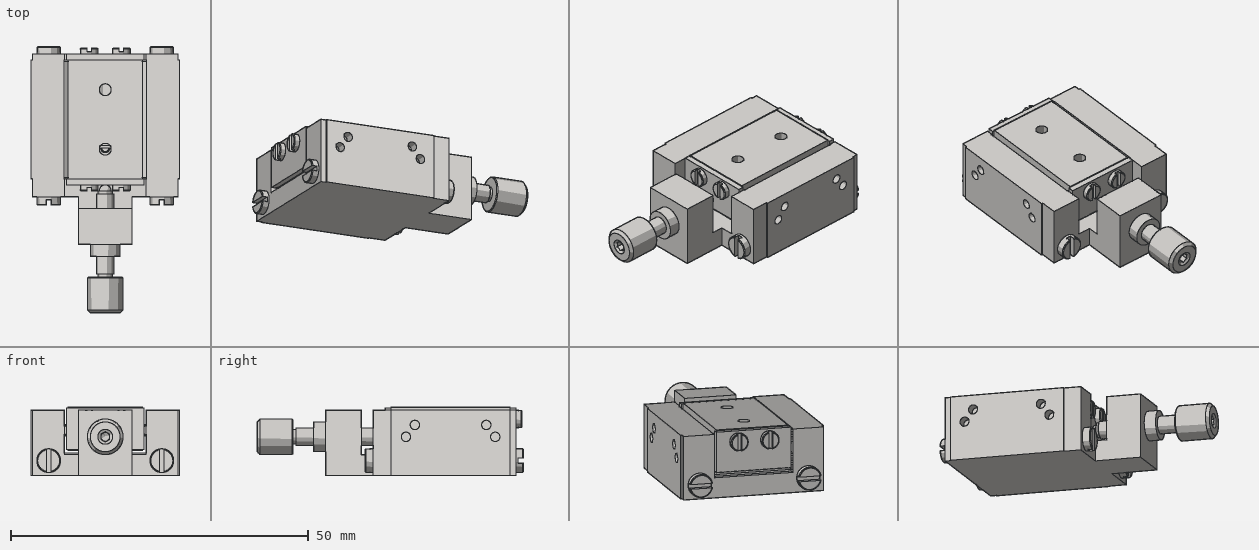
import cadquery as cq
import math


slide_length = 20.0
rear_plate = 1.0
front_plate = 3.0
base_width = 25.0
base_end_width = 24.5
base_height = 11.0
channel_width = 13.9
channel_floor = 3.8
end_channel_width = 13.7
end_channel_floor = 3.5

base_rear = slide_length / 2 + rear_plate
base_front = -slide_length / 2 - front_plate

bracket_width = 9.0
bracket_length = 8.0
bracket_gap = 2.0
bracket_front = base_front - bracket_length

side_hole_diameter = 1.57
side_hole_depth = 2.0
side_holes = [(6.0, 8.5), (7.5, 6.5)]

rod_diameter = 2.0
rod_offset = 6.95
rod_height = 7.6
rod_chamfer = 0.25

carriage_width = 12.5
carriage_bottom = 4.2
carriage_top = 11.5
carriage_plate_width = 13.1
carriage_plate = 1.0
carriage_plate_inset = 0.15
carriage_end = slide_length / 2 + carriage_plate

mount_hole_diameter = 2.0
mount_hole_offset = 5.0
bore_diameter = 3.0
bore_start = -3.0
bore_height = (carriage_bottom + carriage_top) / 2

stud_edge = -4.8
stud_height = 0.3
stud_bottom_diameter = 1.57
stud_top_diameter = 1.2
groove_width = 0.4
groove_length = mount_hole_diameter
groove_depth = 0.3

screw_height = 6.5
spindle_diameter = 3.0
collar_diameter = 5.0
collar_length = 2.0
neck_diameter = 2.5
neck_length = 0.5
knob_diameter = 6.0
knob_length = 6.0
knob_chamfer = 0.5
knob_back_chamfer = 0.15
tip_diameter = 2.0
knob_distance = 5.5
knob_back = bracket_front - knob_distance
knob_front = knob_back - knob_length
socket_across_flats = 1.5
socket_depth = 1.5
socket_turn = 30.0
socket_countersink = 2.5
countersink_angle = 120.0
socket_point_angle = 118.0

base_head_diameter = 4.0
base_head_offset = 9.5
base_head_height = 2.5
base_front_head_length = 1.4
base_rear_head_length = 1.23
base_head_slot = (0.8, 0.9)
carriage_head_diameter = 3.0
carriage_head_offset = 2.7
carriage_head_height = 9.5
carriage_head_length = 1.0
carriage_head_slot = (0.7, 0.6)
head_chamfer = 0.15


def block(width, y_from, y_to, z_from, z_to):
    """Box centred on X = 0 between two Y and two Z positions."""
    box = cq.Workplane("XY").box(width, y_to - y_from, z_to - z_from, centered=(True, False, False))
    return box.translate((0, y_from, z_from))


def slotted_head(x, y, z, diameter, length, slot, facing, slot_angle=0):
    """Cheese head seated at (x, y, z); facing is +1 for heads on the +Y side and -1 for the -Y side."""
    slot_width, slot_depth = slot
    head = cq.Workplane("XY").circle(diameter / 2).extrude(length).faces(">Z").chamfer(head_chamfer)
    cutter = cq.Workplane("XY").box(slot_width, 2 * diameter, 2 * slot_depth).translate((0, 0, length))
    cutter = cutter.rotate((0, 0, 0), (0, 0, 1), slot_angle)
    head = head.cut(cutter)
    return head.rotate((0, 0, 0), (1, 0, 0), -90 * facing).translate((x, y, z))


def guide_rod(side):
    rod = cq.Workplane("XZ").circle(rod_diameter / 2).extrude(slide_length / 2, both=True)
    rod = rod.faces("<Y or >Y").chamfer(rod_chamfer)
    return rod.translate((side * rod_offset, 0, rod_height))


def channel_section(width, y_from, y_to, inner_width, floor):
    body = block(width, y_from, y_to, 0, base_height)
    return body.cut(block(inner_width, y_from, y_to, floor, base_height))


def stop_stud():
    """Half of a low cone standing on the channel floor, flat on its +Y side."""
    cone = cq.Workplane(
        cq.Solid.makeCone(
            stud_bottom_diameter / 2, stud_top_diameter / 2, stud_height, cq.Vector(0, stud_edge, channel_floor)
        )
    )
    rear_half = block(
        stud_bottom_diameter, stud_edge, stud_edge + stud_bottom_diameter, channel_floor, channel_floor + stud_height
    )
    return cone.cut(rear_half)


def stop_groove():
    return block(groove_length, stud_edge, stud_edge + groove_width, channel_floor - groove_depth, channel_floor)


def cone_point(diameter, angle, y):
    """Cone about the Y axis, wide at y and narrowing toward +Y to a point."""
    height = diameter / 2 / math.tan(math.radians(angle / 2))
    return cq.Workplane(cq.Solid.makeCone(diameter / 2, 0, height, cq.Vector(0, y, 0), cq.Vector(0, 1, 0)))


def drive_screw():
    """Spindle, collar and knob turned about the Y axis, from the rounded tip to the knob's front face."""
    spindle = spindle_diameter / 2
    neck = neck_diameter / 2
    knob = knob_diameter / 2
    tip = tip_diameter / 2
    tip_end = -carriage_end
    dome_base = tip_end - tip
    spindle_end = dome_base - neck_length
    collar_front = bracket_front - collar_length
    arc_point = tip * math.sqrt(0.5)
    profile = (
        cq.Workplane("XY")
        .moveTo(0, tip_end)
        .threePointArc((arc_point, dome_base + arc_point), (tip, dome_base))
        .lineTo(neck, dome_base)
        .lineTo(neck, spindle_end)
        .lineTo(spindle, spindle_end)
        .lineTo(spindle, bracket_front)
        .lineTo(collar_diameter / 2, bracket_front)
        .lineTo(collar_diameter / 2, collar_front)
        .lineTo(spindle, collar_front)
        .lineTo(spindle, knob_back + neck_length)
        .lineTo(neck, knob_back + neck_length)
        .lineTo(neck, knob_back)
        .lineTo(knob - knob_back_chamfer, knob_back)
        .lineTo(knob, knob_back - knob_back_chamfer)
        .lineTo(knob, knob_front + knob_chamfer)
        .lineTo(knob - knob_chamfer, knob_front)
        .lineTo(0, knob_front)
        .close()
    )
    screw = profile.revolve(360, (0, 0, 0), (0, 1, 0))

    across_corners = socket_across_flats / math.cos(math.pi / 6)
    socket_floor = knob_front + socket_depth
    socket = cq.Workplane("XZ").polygon(6, across_corners).extrude(socket_depth)
    socket = socket.rotate((0, 0, 0), (0, 1, 0), socket_turn).translate((0, socket_floor, 0))
    countersink = cone_point(socket_countersink, countersink_angle, knob_front)
    bottom = cone_point(socket_across_flats, socket_point_angle, socket_floor)
    screw = screw.cut(socket).cut(countersink).cut(bottom)
    return screw.translate((0, 0, screw_height))


def side_hole(side, y, z):
    start = cq.Vector(side * base_width / 2, y, z)
    direction = cq.Vector(-side, 0, 0)
    return cq.Workplane(cq.Solid.makeCylinder(side_hole_diameter / 2, side_hole_depth, start, direction))


def make_base(rods):
    half = slide_length / 2
    base = channel_section(base_width, -half, half, channel_width, channel_floor)
    base = base.union(channel_section(base_end_width, half, base_rear, end_channel_width, end_channel_floor))
    base = base.union(channel_section(base_end_width, base_front, -half, end_channel_width, end_channel_floor))
    base = base.union(stop_stud()).cut(stop_groove())

    base = base.union(block(bracket_width, bracket_front, base_front, 0, end_channel_floor))
    base = base.union(block(bracket_width, bracket_front, base_front - bracket_gap, 0, base_height))

    for side in (-1, 1):
        for distance, height in side_holes:
            for end in (-1, 1):
                base = base.cut(side_hole(side, end * distance, height))

    for rod in rods:
        base = base.union(rod)
    base = base.union(drive_screw())

    for side in (-1, 1):
        x = side * base_head_offset
        front_head = slotted_head(
            x, base_front, base_head_height, base_head_diameter, base_front_head_length, base_head_slot, -1
        )
        rear_head = slotted_head(
            x, base_rear, base_head_height, base_head_diameter, base_rear_head_length, base_head_slot, 1, 90
        )
        base = base.union(front_head).union(rear_head)
    return base


def make_carriage(rods):
    half = slide_length / 2
    carriage = block(carriage_width, -half, half, carriage_bottom, carriage_top)
    plate_bottom = carriage_bottom + carriage_plate_inset
    plate_top = carriage_top - carriage_plate_inset
    carriage = carriage.union(block(carriage_plate_width, half, carriage_end, plate_bottom, plate_top))
    carriage = carriage.union(block(carriage_plate_width, -carriage_end, -half, plate_bottom, plate_top))

    for y, depth in ((-mount_hole_offset, carriage_top - carriage_bottom),
                     (mount_hole_offset, carriage_top - bore_height)):
        hole = cq.Workplane("XY", origin=(0, y, carriage_top)).circle(mount_hole_diameter / 2).extrude(-depth)
        carriage = carriage.cut(hole)
    bore = cq.Workplane("XZ", origin=(0, bore_start, bore_height)).circle(bore_diameter / 2)
    carriage = carriage.cut(bore.extrude(bore_start - half))

    for rod in rods:
        carriage = carriage.cut(rod)

    for side in (-1, 1):
        for facing in (-1, 1):
            head = slotted_head(
                side * carriage_head_offset, facing * carriage_end, carriage_head_height,
                carriage_head_diameter, carriage_head_length, carriage_head_slot, facing,
            )
            carriage = carriage.union(head)
    return carriage


guide_rods = [guide_rod(side) for side in (-1, 1)]
base = make_base(guide_rods)
carriage = make_carriage(guide_rods)
result = cq.Compound.makeCompound([*base.solids().vals(), *carriage.solids().vals()])